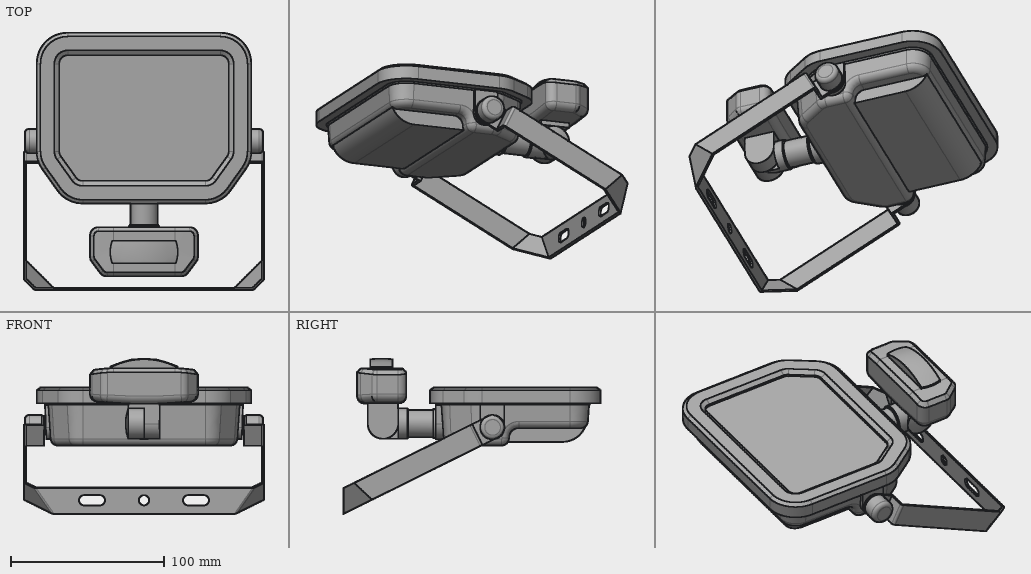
import cadquery as cq
import math


frame_half_width = 70.1
frame_back_y = 70.8
frame_front_y = -40.9
frame_slant_start_y = -13.3
frame_slant_end_x = 50.5
frame_corner_radius = 20.2
frame_bottom_z = 15.5
frame_top_z = 25.9
frame_chamfer_width = 2.5
frame_chamfer_height = 1.8
window_inset = 11.6
window_slope_width = 3.2
window_slope_depth = 2.2
glass_step = 1.3
glass_top_z = frame_top_z - window_slope_depth - glass_step

rim_inset = 6.5
rim_height = 1.0
wall_inset = rim_inset + rim_height
wall_draft = 4
wall_top_z = frame_bottom_z - rim_height
housing_bottom_z = -12.1
ledge_z = -0.7
ledge_end_y = 17.2
step_inner_radius = 6.2
step_outer_radius = ledge_z - step_inner_radius - housing_bottom_z
housing_edge_radius = 4.9
core_half_width = 50.8
core_bottom_z = -9.8
core_back_y = 61.9
core_end_radius = 16.1
pad_radius = 7.9
pad_top_half_width = 64.7
pad_bottom_half_width = 63.9
boss_radius = 10.5
boss_end_y = -37

arm_z = 2.4
knuckle_y = -71.5
tube_diameter = 18.0
flange_diameter = 19.0
flange_thickness = 1.5
knuckle_diameter = 20.0
knuckle_radius = knuckle_diameter / 2
collar_y = -55.7
collar_chamfer = 0.8
knuckle_width = 10.3
knuckle_dome_height = 1.8

head_half_width = 35.3
head_back_y = -56.2
head_front_y = -88.5
head_slant_start_y = -77.4
head_slant_end_x = 26.9
head_corner_radius = 5.7
head_top_z = 38.5
head_end_top_z = 37
head_flat_half_width = 20.0
head_bottom_z = 15.3
head_end_bottom_z = 17.2
head_top_chamfer = 2.7
head_bottom_round = 5
lens_top_z = 44.9
lens_radius = 47.8
lens_half_length = 22.0
lens_width = 14.6
lens_y = -72.5
lens_seat_z = 37

bracket_tilt = 26.4
bracket_half_width = 78.5
strip_width = 15.1
sheet = 1.5
bracket_back_y = -97.4
jog_distance = 11.0
tab_inner_x = 65.2
outer_bend_radius = 1.7
corner_bend_radius = 1.3
corner_leg_top = 7.0
corner_leg_bottom = 18.8
mount_hole_diameter = 6.5
mount_slot_length = 16.8
mount_slot_x = 34.0
mount_hole_z = -47.8

bolt_head_diameter = 16.0
bolt_head_end_x = 77.9
bolt_head_round = 2.9
bolt_shank_diameter = 4.2
bolt_hole_diameter = 4.4
bolt_shank_end_x = 57.2

CLEAR = 336.3


def slanted_outline(half_width, back_y, slant_start_y, slant_end_x, front_y):
    """Rectangle whose two -Y corners are cut off by slanted sides."""
    return [
        (-half_width, back_y), (half_width, back_y),
        (half_width, slant_start_y), (slant_end_x, front_y),
        (-slant_end_x, front_y), (-half_width, slant_start_y),
    ]


def frame_outline(inset, z):
    """Closed outline at height z, parallel to the frame edge and inset from it."""
    points = slanted_outline(
        frame_half_width, frame_back_y, frame_slant_start_y, frame_slant_end_x, frame_front_y
    )
    rounded = cq.Workplane("XY").polyline(points).close().extrude(1.7)
    rounded = rounded.edges("|Z").fillet(frame_corner_radius)
    outline = rounded.faces("<Z").wires().val()
    if inset:
        outline = outline.offset2D(-inset)[0]
    return outline.moved(cq.Location(cq.Vector(0, 0, z)))


def prism(inset, z, height):
    wire = frame_outline(inset, z)
    return cq.Workplane(cq.Solid.extrudeLinear(wire, [], cq.Vector(0, 0, height)))


def frustum(inset_low, z_low, inset_high, z_high):
    wires = [frame_outline(inset_low, z_low), frame_outline(inset_high, z_high)]
    return cq.Workplane(cq.Solid.makeLoft(wires, True))


def x_cylinder(diameter, x_start, x_end, y=0, z=0):
    return (
        cq.Workplane("YZ", origin=(x_start, 0, 0))
        .center(y, z).circle(diameter / 2).extrude(x_end - x_start)
    )


def y_cylinder(diameter, y_start, y_end, z):
    return (
        cq.Workplane("XZ", origin=(0, y_start, 0))
        .center(0, z).circle(diameter / 2).extrude(y_start - y_end)
    )


def make_frame():
    chamfer_z = frame_top_z - frame_chamfer_height
    slope_end_z = frame_top_z - window_slope_depth
    glass_inset = window_inset + window_slope_width
    ring = prism(0, frame_bottom_z, chamfer_z - frame_bottom_z)
    ring = ring.union(frustum(0, chamfer_z, frame_chamfer_width, frame_top_z))
    ring = ring.cut(frustum(glass_inset, slope_end_z, window_inset, frame_top_z))
    return ring.cut(prism(glass_inset, frame_bottom_z, slope_end_z - frame_bottom_z))


def make_glass():
    return prism(window_inset + window_slope_width, frame_bottom_z, glass_top_z - frame_bottom_z)


def make_tub():
    draft_inset = (wall_top_z - housing_bottom_z) * math.tan(math.radians(wall_draft))
    tub = frustum(wall_inset + draft_inset, housing_bottom_z, wall_inset, wall_top_z)
    inner_center_z = ledge_z - step_inner_radius
    riser_y = ledge_end_y - step_inner_radius
    diagonal = math.sqrt(0.5)
    outer_center = (riser_y - step_outer_radius, housing_bottom_z + step_outer_radius)
    below_ledge = (
        cq.Workplane("YZ", origin=(-CLEAR / 2, 0, 0))
        .moveTo(CLEAR, ledge_z)
        .lineTo(ledge_end_y, ledge_z)
        .threePointArc(
            (ledge_end_y - step_inner_radius * diagonal, inner_center_z + step_inner_radius * diagonal),
            (riser_y, inner_center_z),
        )
        .threePointArc(
            (outer_center[0] + step_outer_radius * diagonal, outer_center[1] - step_outer_radius * diagonal),
            (outer_center[0], housing_bottom_z),
        )
        .lineTo(outer_center[0], -CLEAR)
        .lineTo(CLEAR, -CLEAR)
        .close()
        .extrude(CLEAR)
    )
    tub = tub.cut(below_ledge)
    return tub.edges("<Z").edges("<Y").fillet(housing_edge_radius)


def make_core():
    block = cq.Workplane("XY").box(
        2 * core_half_width, core_back_y, wall_top_z - core_bottom_z, centered=(True, False, False)
    ).translate((0, 0, core_bottom_z))
    return block.edges(">Y").edges("<Z").fillet(core_end_radius)


def make_pivot_pads():
    """Tongue across the housing whose rounded ends carry the bolts."""
    tongue = (
        cq.Workplane("YZ", origin=(-CLEAR / 2, 0, 0))
        .moveTo(-pad_radius, wall_top_z)
        .lineTo(-pad_radius, 0)
        .threePointArc((0, -pad_radius), (pad_radius, 0))
        .lineTo(pad_radius, wall_top_z)
        .close()
        .extrude(CLEAR)
    )
    drafted_ends = (
        cq.Workplane("XZ", origin=(0, pad_radius, 0))
        .polyline([
            (-pad_top_half_width, wall_top_z), (pad_top_half_width, wall_top_z),
            (pad_bottom_half_width, -pad_radius), (-pad_bottom_half_width, -pad_radius),
        ])
        .close()
        .extrude(2 * pad_radius)
    )
    return tongue.intersect(drafted_ends)


def make_arm_boss():
    return (
        cq.Workplane("XZ")
        .moveTo(-boss_radius, wall_top_z)
        .lineTo(-boss_radius, arm_z)
        .threePointArc((0, arm_z - boss_radius), (boss_radius, arm_z))
        .lineTo(boss_radius, wall_top_z)
        .close()
        .extrude(-boss_end_y)
    )


def make_housing():
    rim = frustum(wall_inset, wall_top_z, rim_inset, frame_bottom_z)
    housing = make_tub().union(rim).union(make_core())
    housing = housing.union(make_pivot_pads()).union(make_arm_boss())
    for side in (-1, 1):
        housing = housing.cut(
            x_cylinder(bolt_shank_diameter, side * bolt_shank_end_x, side * bolt_head_end_x)
        )
    return housing


def make_arm():
    slab_y = knuckle_y + knuckle_radius
    flange = y_cylinder(flange_diameter, boss_end_y, boss_end_y - flange_thickness, arm_z)
    tube = y_cylinder(tube_diameter, boss_end_y, collar_y, arm_z)
    collar = y_cylinder(knuckle_diameter, collar_y + collar_chamfer, knuckle_y, arm_z)
    collar = collar.faces(">Y").chamfer(collar_chamfer)
    swivel_space = cq.Workplane("XY").box(
        CLEAR, CLEAR, CLEAR, centered=(False, False, True)
    ).translate((0, slab_y - CLEAR, 0))
    dome_radius = (knuckle_radius**2 + knuckle_dome_height**2) / (2 * knuckle_dome_height)
    knuckle_end_x = -knuckle_width - knuckle_dome_height
    dome = cq.Workplane("XY").sphere(dome_radius).translate(
        (knuckle_end_x + dome_radius, knuckle_y, arm_z)
    )
    knuckle = x_cylinder(knuckle_diameter, knuckle_end_x, 0, knuckle_y, arm_z).intersect(dome)
    return flange.union(tube).union(collar.cut(swivel_space)).union(knuckle)


def make_lens():
    strip = cq.Workplane("XY").box(
        2 * head_half_width, lens_width, CLEAR, centered=(True, True, False)
    )
    column = cq.Workplane("XY").circle(lens_half_length).extrude(CLEAR).intersect(strip)
    column = column.translate((0, lens_y, lens_seat_z))
    ball = cq.Workplane("XY").sphere(lens_radius).rotate((0, 0, 0), (0, 1, 0), -90)
    return column.intersect(ball.translate((0, lens_y, lens_top_z - lens_radius)))


def left_top_arc():
    """Middle and end points of the arc that leaves the flat top tangentially on the -X side."""
    run = head_half_width - head_flat_half_width
    drop = head_top_z - head_end_top_z
    radius = (run**2 + drop**2) / (2 * drop)
    half_angle = math.asin(run / radius) / 2
    middle = (
        -head_flat_half_width - radius * math.sin(half_angle),
        head_top_z - radius * (1 - math.cos(half_angle)),
    )
    return middle, (-head_flat_half_width, head_top_z)


def make_case():
    points = slanted_outline(
        head_half_width, head_back_y, head_slant_start_y, head_slant_end_x, head_front_y
    )
    plan = cq.Workplane("XY").polyline(points).close().extrude(lens_top_z)
    plan = plan.edges("|Z").fillet(head_corner_radius)
    elevation = (
        cq.Workplane("XZ", origin=(0, head_back_y, 0))
        .moveTo(-head_flat_half_width, head_top_z)
        .lineTo(head_flat_half_width, head_top_z)
        .tangentArcPoint((head_half_width, head_end_top_z), relative=False)
        .lineTo(head_half_width, head_end_bottom_z)
        .threePointArc((0, head_bottom_z), (-head_half_width, head_end_bottom_z))
        .lineTo(-head_half_width, head_end_top_z)
        .threePointArc(*left_top_arc())
        .close()
        .extrude(head_back_y - head_front_y)
    )
    case = plan.intersect(elevation)
    case = case.faces(">Z").edges("<Y").chamfer(head_top_chamfer)
    return case.faces("<Z").edges().fillet(head_bottom_round)


def make_head():
    inside_z = (head_top_z + head_bottom_z) / 2
    neck_bottom_z = arm_z + knuckle_radius
    neck = cq.Workplane("XY").box(
        2 * knuckle_width, knuckle_diameter, inside_z - neck_bottom_z, centered=(True, True, False)
    ).translate((0, knuckle_y, neck_bottom_z))
    cheek = cq.Workplane("XY").box(
        knuckle_width, knuckle_diameter, inside_z - arm_z, centered=(False, True, False)
    ).translate((0, knuckle_y, arm_z))
    cheek = cheek.union(x_cylinder(knuckle_diameter, 0, knuckle_width, knuckle_y, arm_z))
    return make_case().union(neck).union(cheek).cut(make_lens())


tilt = math.radians(bracket_tilt)
strip_plane = cq.Plane(
    origin=(0, 0, 0), xDir=(1, 0, 0), normal=(0, -math.sin(tilt), math.cos(tilt))
)


def strip_edge_z(y, side):
    """Height of the strip's upper (side=1) or lower (side=-1) edge at the given Y."""
    return y * math.tan(tilt) + side * strip_width / 2 / math.cos(tilt)


def bracket_block(inset):
    """Solid bounded by the bracket's outer faces moved inward by inset."""
    start = -jog_distance - inset
    half_width = bracket_half_width - inset
    block = (
        cq.Workplane(strip_plane)
        .center(0, start - CLEAR / 2).rect(2 * half_width, CLEAR)
        .extrude(strip_width / 2, both=True)
    )
    behind = cq.Workplane("XY").box(CLEAR, CLEAR, 2 * CLEAR).translate(
        (0, bracket_back_y + inset - CLEAR / 2, 0)
    )
    block = block.cut(behind)
    for side in (-1, 1):
        arm_x = side * bracket_half_width
        top_y = bracket_back_y + corner_leg_top
        bottom_y = bracket_back_y + corner_leg_bottom
        arm_top = cq.Vector(arm_x, top_y, strip_edge_z(top_y, 1))
        arm_bottom = cq.Vector(arm_x, bottom_y, strip_edge_z(bottom_y, -1))
        back_top = cq.Vector(
            arm_x - side * corner_leg_top, bracket_back_y, strip_edge_z(bracket_back_y, 1)
        )
        along = back_top - arm_top
        outward = along.cross(arm_bottom - arm_top).normalized()
        if outward.y > 0:
            outward = outward * -1
        corner = cq.Workplane(cq.Plane(origin=arm_top - outward * inset, xDir=along, normal=outward))
        block = block.cut(corner.rect(CLEAR, CLEAR).extrude(CLEAR))
    return block


def make_bracket():
    outer = bracket_block(0)
    outer = outer.edges(cq.selectors.ParallelDirSelector(strip_plane.zDir)).fillet(outer_bend_radius)
    outer = outer.faces("<Y").edges("not |X").fillet(corner_bend_radius)
    bracket = outer.cut(bracket_block(sheet))
    between_tabs = cq.Workplane(strip_plane).center(0, -jog_distance).rect(
        2 * tab_inner_x, 4 * sheet
    ).extrude(strip_width, both=True)
    bracket = bracket.cut(between_tabs)

    for side in (-1, 1):
        tab = (
            cq.Workplane(strip_plane)
            .center(side * (tab_inner_x + sheet / 2), -(jog_distance + sheet) / 2)
            .rect(sheet, jog_distance + sheet)
            .extrude(strip_width / 2, both=True)
        )
        tab = tab.union(x_cylinder(strip_width, side * tab_inner_x, side * (tab_inner_x + sheet)))
        tab = tab.cut(x_cylinder(bolt_hole_diameter, side * tab_inner_x, side * bolt_head_end_x))
        bracket = bracket.union(tab)

    plate = cq.Workplane("XZ", origin=(0, bracket_back_y + 2 * sheet, mount_hole_z))
    bracket = bracket.cut(plate.circle(mount_hole_diameter / 2).extrude(4 * sheet))
    slots = plate.pushPoints([(-mount_slot_x, 0), (mount_slot_x, 0)])
    return bracket.cut(slots.slot2D(mount_slot_length, mount_hole_diameter).extrude(4 * sheet))


def make_bolt(side):
    head = x_cylinder(bolt_head_diameter, tab_inner_x + sheet, bolt_head_end_x)
    head = head.faces(">X").edges().fillet(bolt_head_round)
    bolt = head.union(x_cylinder(bolt_shank_diameter, bolt_shank_end_x, bolt_head_end_x - bolt_head_round))
    if side < 0:
        bolt = bolt.mirror("YZ")
    return bolt


housing = make_housing()
frame = make_frame()
glass = make_glass()
arm = make_arm()
head = make_head()
lens = make_lens()
bracket = make_bracket()
bolts = [make_bolt(side) for side in (-1, 1)]

bodies = [housing, frame, glass, arm, head, lens, bracket, *bolts]
result = cq.Compound.makeCompound([body.solids().val() for body in bodies])